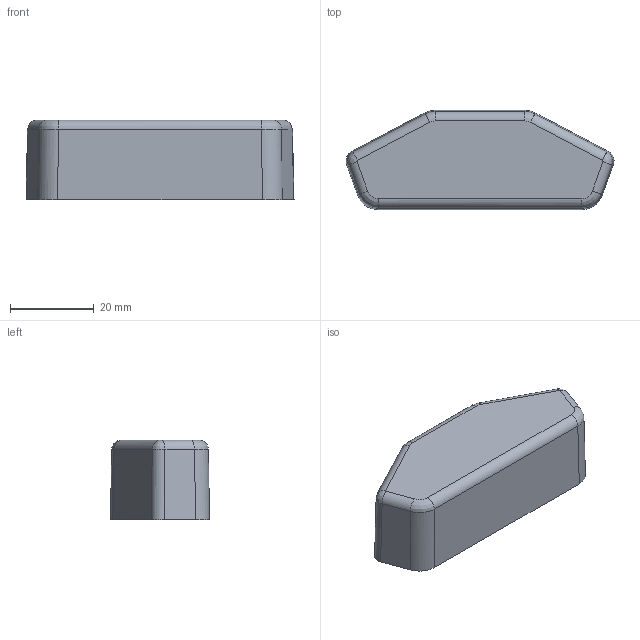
import cadquery as cq

height = 19.0
depth = 23.6
draft_angle = 1.0

front_half_width = 27.9
shoulder_half_width = 32.5
shoulder_y = 1.0
back_half_width = 12.0

front_corner_radius = 5.0
shoulder_radius = 2.5
back_corner_radius = 5.0
top_edge_radius = 2.25

front_corner = (front_half_width, -depth / 2)
shoulder = (shoulder_half_width, shoulder_y)
back_corner = (back_half_width, depth / 2)


def drafted_block():
    """Six-sided block whose walls taper inward from the base."""
    right_half = [front_corner, shoulder, back_corner]
    left_half = [(-x, y) for x, y in reversed(right_half)]
    outline = cq.Workplane("XY").polyline(right_half + left_half).close()
    return outline.extrude(height, taper=draft_angle)


def round_upright_pair(block, corner, radius):
    """Round the upright edge above a base corner and its mirror image."""
    corner_x, corner_y = corner
    for x in (corner_x, -corner_x):
        edge_middle = (x, corner_y, height / 2)
        upright = block.edges("not #Z").edges(cq.NearestToPointSelector(edge_middle))
        block = upright.fillet(radius)
    return block


body = drafted_block()
body = round_upright_pair(body, front_corner, front_corner_radius)
body = round_upright_pair(body, shoulder, shoulder_radius)
body = round_upright_pair(body, back_corner, back_corner_radius)

result = body.faces(">Z").edges().fillet(top_edge_radius)